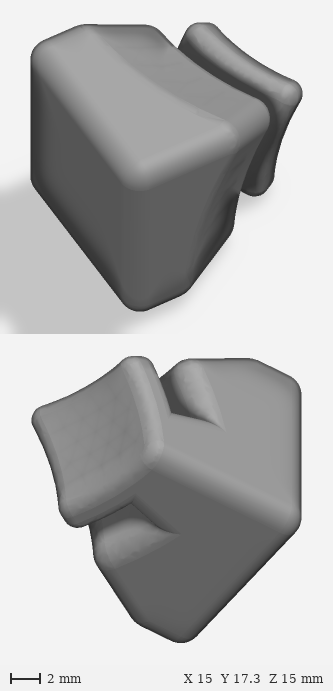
import cadquery as cq
import math

CUBE = 15.0
CENTRE_DEPTH = 30.0
INNER_RADIUS = 17.0
LIP_RADIUS = 19.7
BODY_RADIUS = 22.25
FLANK_ANGLE = 30.4
NECK_ANGLE = 16.8
BODY_FILLET = 1.5
LIP_FILLET = 1.0

HALF = CUBE / 2
CENTRE = cq.Vector(-HALF, CENTRE_DEPTH - HALF, -HALF)
OUTWARD = cq.Vector(0, -1, 0)
CONE_AXES = (cq.Vector(0, 0, 1), cq.Vector(1, 0, 0))
CONE_REACH = 3 * CUBE

NECK_INNER_RADIUS = (INNER_RADIUS + LIP_RADIUS) / 2
NECK_OUTER_RADIUS = BODY_RADIUS + 2 * BODY_FILLET


def flank_cone(axis, slope):
    """Everything above a conical flank that rises from the centre at the given slope."""
    profile = (
        cq.Workplane(cq.Plane(CENTRE, xDir=-OUTWARD, normal=axis.cross(OUTWARD)))
        .lineTo(CONE_REACH, CONE_REACH * math.tan(math.radians(slope)))
        .lineTo(0, CONE_REACH)
        .close()
    )
    return profile.revolve(360, (0, 0, 0), (0, 1, 0))


def ball(radius):
    """Sphere about the common centre."""
    return cq.Workplane("XY").sphere(radius).translate(CENTRE)


def wedge(slope):
    """Square bar from the outer face to the centre, narrowed by the two conical flanks."""
    bar = cq.Workplane("XZ", origin=(0, -HALF, 0)).rect(CUBE, CUBE).extrude(-CENTRE_DEPTH)
    for axis in CONE_AXES:
        bar = bar.cut(flank_cone(axis, slope))
    return bar


def body():
    """Cube with conical flanks, hollowed on the inside and rounded on every edge."""
    return wedge(FLANK_ANGLE).cut(ball(BODY_RADIUS)).edges().fillet(BODY_FILLET)


def neck():
    """Narrow bar joining lip to body, rounded along its four straight edges."""
    rod = wedge(NECK_ANGLE).cut(ball(NECK_INNER_RADIUS)).intersect(ball(NECK_OUTER_RADIUS))
    return rod.edges("%LINE").fillet(BODY_FILLET)


def lip():
    """Spherical shell at the inner end, wider than the neck."""
    shell = wedge(FLANK_ANGLE).cut(ball(INNER_RADIUS)).intersect(ball(LIP_RADIUS))
    shell = shell.edges("|Y").fillet(BODY_FILLET)
    return shell.edges("not(|Y)").fillet(LIP_FILLET)


result = body().union(neck()).union(lip()).solids()